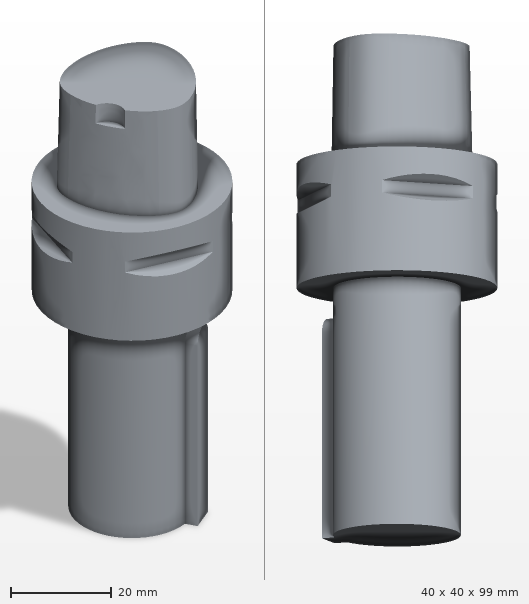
import cadquery as cq
import math

total_height = 99.0
polygon_height = 24.0
collar_top = total_height - polygon_height
collar_height = 25.0
collar_bottom = collar_top - collar_height

shank_diameter = 25.4
collar_diameter = 40.0

polygon_base_radius = 14.1
polygon_base_lobe = 1.04
polygon_tip_radius = 13.6
polygon_tip_lobe = 0.94
polygon_sides = 6
points_per_side = 6

groove_count = 4
groove_first_angle = 45
groove_floor_radius = 17.5
groove_floor_height = 2.5
groove_center_height = 67.0
groove_flank_angle = 30

notch_radius = 3.8
notch_depth = 4.3
notch_inner_reach = 10.8

key_width = 6.0
key_reach = 15.0
key_top = 44.8


def lobe_point(angle, radius, lobe):
    """Point of a constant-width curve where the outward normal has the given angle."""
    support = radius - lobe * math.sin(3 * angle)
    slope = -3 * lobe * math.cos(3 * angle)
    x = support * math.cos(angle) - slope * math.sin(angle)
    y = support * math.sin(angle) + slope * math.cos(angle)
    return cq.Vector(x, y, 0)


def lobe_side(start, radius, lobe):
    """One of the six smooth stretches of the polygon outline."""
    sweep = 2 * math.pi / polygon_sides
    angles = [start + sweep * i / points_per_side for i in range(points_per_side + 1)]
    points = [lobe_point(angle, radius, lobe) for angle in angles]
    tangents = [cq.Vector(-math.sin(a), math.cos(a), 0) for a in (angles[0], angles[-1])]
    return cq.Edge.makeSpline(points, tangents=tangents)


def lobe_outline(radius, lobe, height):
    starts = [2 * math.pi * side / polygon_sides for side in range(polygon_sides)]
    sides = [lobe_side(start, radius, lobe) for start in starts]
    return cq.Wire.assembleEdges(sides).translate(cq.Vector(0, 0, height))


def make_polygon():
    base = lobe_outline(polygon_base_radius, polygon_base_lobe, collar_top)
    tip = lobe_outline(polygon_tip_radius, polygon_tip_lobe, total_height)
    return cq.Workplane(cq.Solid.makeLoft([base, tip], True))


def make_notch():
    return (
        cq.Workplane("XY", origin=(0, -notch_inner_reach - notch_radius, total_height - notch_depth))
        .circle(notch_radius)
        .extrude(notch_depth)
    )


def make_groove(angle):
    """Straight groove with a flat floor and sloping flanks, cut across the collar rim."""
    rim_radius = collar_diameter / 2
    flank_rise = (rim_radius - groove_floor_radius) * math.tan(math.radians(groove_flank_angle))
    floor_half = groove_floor_height / 2
    mouth_half = floor_half + flank_rise
    return (
        cq.Workplane("XZ", origin=(0, 0, groove_center_height))
        .moveTo(groove_floor_radius, -floor_half)
        .lineTo(rim_radius, -mouth_half)
        .lineTo(rim_radius, mouth_half)
        .lineTo(groove_floor_radius, floor_half)
        .close()
        .extrude(rim_radius, both=True)
        .rotate((0, 0, 0), (0, 0, 1), angle)
    )


def make_key():
    """Key on the +X side, rounded at its upper end and flush with the shank below."""
    half_width = key_width / 2
    arc_start = key_top - half_width
    return (
        cq.Workplane("YZ")
        .moveTo(-half_width, 0)
        .lineTo(half_width, 0)
        .lineTo(half_width, arc_start)
        .threePointArc((0, key_top), (-half_width, arc_start))
        .close()
        .extrude(key_reach)
    )


shank = cq.Workplane("XY").circle(shank_diameter / 2).extrude(collar_bottom)
collar = (
    cq.Workplane("XY", origin=(0, 0, collar_bottom))
    .circle(collar_diameter / 2)
    .extrude(collar_height)
)
for index in range(groove_count):
    collar = collar.cut(make_groove(groove_first_angle + 360 * index / groove_count))

polygon = make_polygon().cut(make_notch())

result = shank.union(make_key()).union(collar).union(polygon)